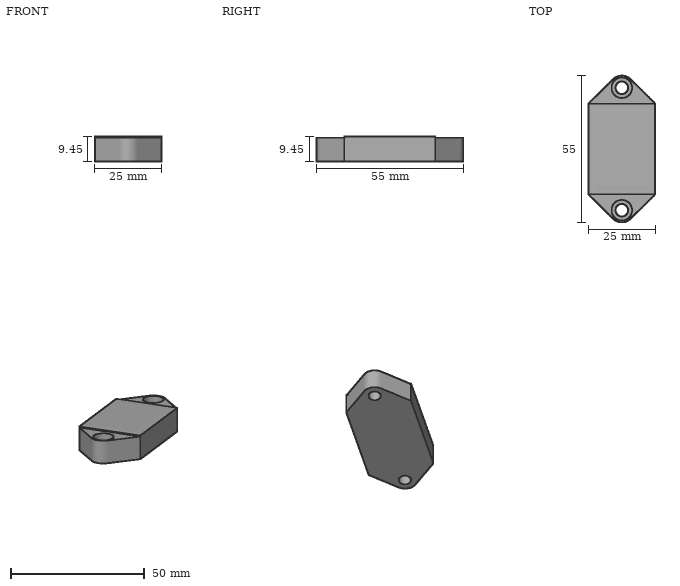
import cadquery as cq
import math

body_width = 25.0
body_length = 34.0
body_height = 9.4

ear_height = 9.0
ear_radius = 4.6
hole_spacing = 45.8
hole_diameter = 4.6
counterbore_diameter = 7.7
counterbore_depth = 4.0

panel_margin = 1.5
bevel_width = 1.5
panel_rise = 0.05


def make_ear(side):
    """Ear on the +Y (side=1) or -Y (side=-1) end: straight flanks tangent to a round tip."""
    corner_x = body_width / 2
    corner_y = body_length / 2
    centre_y = hole_spacing / 2
    rise = centre_y - corner_y
    corner_distance = math.hypot(corner_x, rise)
    tangent_angle = math.acos(ear_radius / corner_distance) - math.atan2(rise, corner_x)
    tangent_x = ear_radius * math.cos(tangent_angle)
    tangent_y = centre_y + ear_radius * math.sin(tangent_angle)
    tip_y = centre_y + ear_radius
    return (
        cq.Workplane("XY")
        .moveTo(-corner_x, 0)
        .lineTo(-corner_x, side * corner_y)
        .lineTo(-tangent_x, side * tangent_y)
        .threePointArc((0, side * tip_y), (tangent_x, side * tangent_y))
        .lineTo(corner_x, side * corner_y)
        .lineTo(corner_x, 0)
        .close()
        .extrude(ear_height)
    )


def make_panel():
    """Raised panel whose four sides slope inward to a flat top."""
    foot_width = body_width - 2 * panel_margin
    foot_length = body_length - 2 * panel_margin
    return (
        cq.Workplane("XY", origin=(0, 0, body_height))
        .rect(foot_width, foot_length)
        .workplane(offset=panel_rise)
        .rect(foot_width - 2 * bevel_width, foot_length - 2 * bevel_width)
        .loft(ruled=True)
    )


def cut_mounting_holes(part):
    """Counterbored through hole at the centre of each ear tip."""
    return (
        part.copyWorkplane(cq.Workplane("XY", origin=(0, 0, ear_height)))
        .pushPoints([(0, hole_spacing / 2), (0, -hole_spacing / 2)])
        .cboreHole(hole_diameter, counterbore_diameter, counterbore_depth)
    )


body = cq.Workplane("XY").box(body_width, body_length, body_height, centered=(True, True, False))
for end in (1, -1):
    body = body.union(make_ear(end))
result = cut_mounting_holes(body.union(make_panel()))